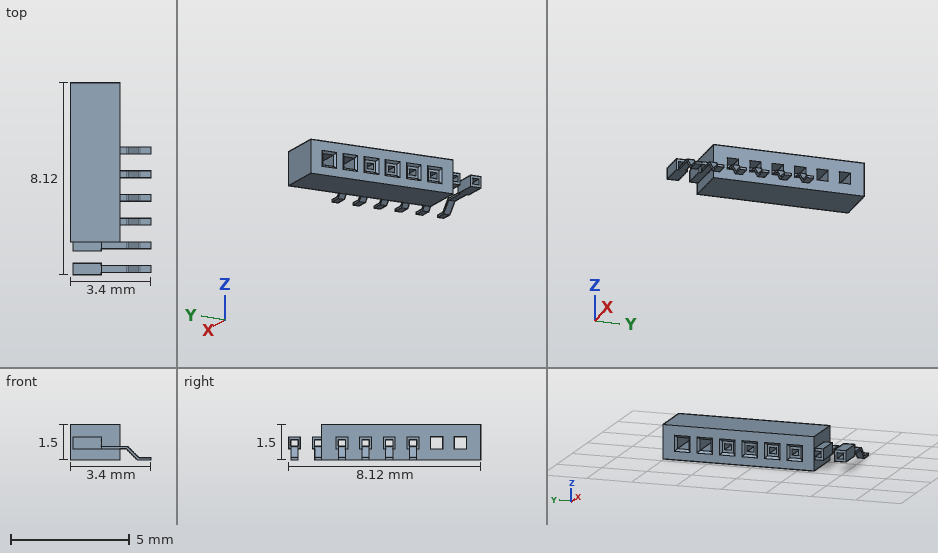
import cadquery as cq

pitch = 1.0
slot_count = 6
contact_count = 6
first_contact = -2

socket_size = 0.5
socket_length = 1.2
socket_front = 0.1
socket_center_z = 0.725
socket_bottom = socket_center_z - socket_size / 2
lead_width = 0.3
lead_thickness = 0.1
bore_width = lead_width
bore_height = 0.26
underside_bend_x = 2.345
top_bend_x = 2.415
bend_radius = 0.1
foot_end = 3.4

housing_depth = 2.1
housing_height = 1.5
housing_end_margin = 0.87
housing_length = (slot_count - 1) * pitch + 2 * housing_end_margin
mouth_size = 0.7
mouth_depth = socket_front


def make_housing():
    """Block along Y with one through slot per pin position."""
    housing = (
        cq.Workplane("XY")
        .box(housing_depth, housing_length, housing_height, centered=False)
        .translate((0, -housing_end_margin, 0))
    )
    for slot in range(slot_count):
        center = (0, slot * pitch, socket_center_z)
        bore = cq.Workplane("YZ", origin=center).rect(socket_size, socket_size).extrude(housing_depth)
        mouth = (
            cq.Workplane("YZ", origin=center)
            .rect(mouth_size, mouth_size)
            .workplane(offset=mouth_depth)
            .rect(socket_size, socket_size)
            .loft()
        )
        housing = housing.cut(bore).cut(mouth)
    return housing


def make_lead():
    """Flat strip: straight out of the socket, down at 45 degrees, then flat along the foot."""
    lead_start = socket_front + socket_length
    drop = socket_bottom
    bend_tops = [
        (top_bend_x, socket_bottom + lead_thickness),
        (top_bend_x + drop, lead_thickness),
    ]
    strip = (
        cq.Workplane("XZ", origin=(0, lead_width / 2, 0))
        .moveTo(lead_start, socket_bottom)
        .lineTo(underside_bend_x, socket_bottom)
        .lineTo(underside_bend_x + drop, 0)
        .lineTo(foot_end, 0)
        .lineTo(foot_end, lead_thickness)
        .lineTo(*bend_tops[1])
        .lineTo(*bend_tops[0])
        .lineTo(lead_start, socket_bottom + lead_thickness)
        .close()
        .extrude(lead_width)
    )
    for x, z in bend_tops:
        strip = strip.edges(cq.NearestToPointSelector((x, 0, z))).fillet(bend_radius)
    return strip


def make_contact(center_y):
    """One contact: open-ended socket tube with its lead continuing the tube floor."""
    socket = (
        cq.Workplane("YZ", origin=(socket_front, 0, socket_center_z))
        .rect(socket_size, socket_size)
        .rect(bore_width, bore_height)
        .extrude(socket_length)
    )
    return socket.union(make_lead()).translate((0, center_y, 0))


contacts = [make_contact((first_contact + index) * pitch) for index in range(contact_count)]

sunk_contact = contacts[-1 - first_contact]
housing = make_housing().cut(sunk_contact)

result = cq.Compound.makeCompound([housing.val(), *[contact.val() for contact in contacts]])